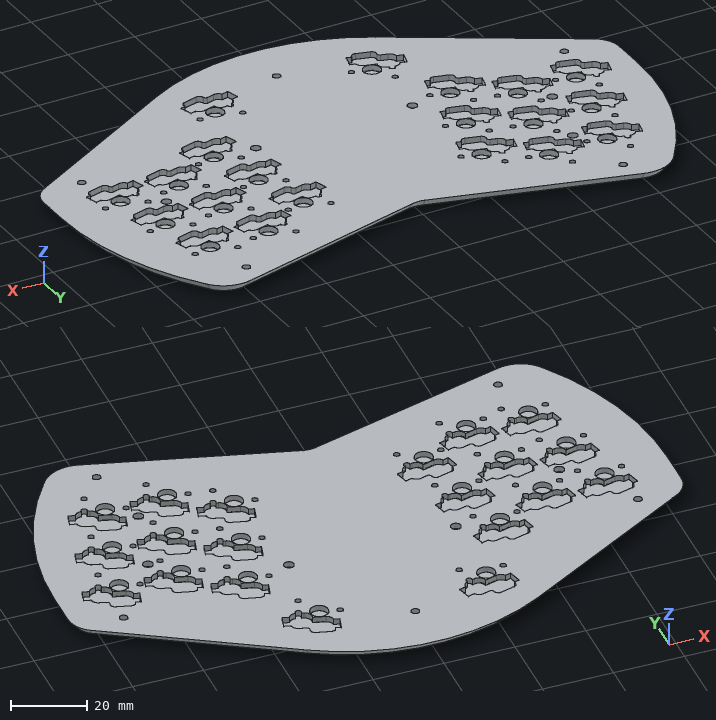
import cadquery as cq
import math

HALF_WIDTH = 86.5
THICKNESS = 2.8
EDGE_TAPER = 40.0

NOTCH_Y = 37.4
TOP_SLOPE = 15.0
SIDE_ARC_RADIUS = 82.2
SIDE_ARC_START_Y = 0.2
FRONT_SLOPE = 30.0
FRONT_RADIUS = 65.8
FRONT_Y = -53.8
NOTCH_RADIUS = 7.0
TOP_CORNER_RADIUS = 10.4
SIDE_CORNER_RADIUS = 7.8

SCREW_DIAMETER = 2.3
SIDE_SCREWS = [(56.6, 46.4), (72.5, -14.2)]
FRONT_SCREW_Y = -39.3
DIMPLE_DIAMETER = 2.8
DIMPLES = [(52.6, 26.3), (58.0, 5.5), (23.5, -8.1)]
POCKET_DEPTH = 1.7

KEY_TILT = 15.0
KEY_PITCH = 17.0
ROWS = (-1, 0, 1)
MIDDLE_ROW = [(31.2, 7.1), (46.5, 16.0), (64.0, 16.0)]
THUMB_KEY = (23.5, -30.1)

STEM_DIAMETER = 5.0
POST_DIAMETER = 1.65
POST_X = 5.5
PIN_DIAMETER = 1.65
PIN_XY = (-5.0, 5.2)

SOCKET_LEFT = -8.1
SOCKET_RIGHT = 3.5
LEFT_TOP = -0.3
LEFT_BOTTOM = -7.1
RIGHT_TOP = -2.6
RIGHT_BOTTOM = -9.3
LEFT_TOP_END_X = -2.0
STEP_X = -3.3
LOBE_RADIUS = 4.0 / 2
STEP_RADIUS = 0.78
FOOT_RADIUS = 1.3
PAD_LEFT = -10.0
PAD_RIGHT = 5.0
PAD_HEIGHT = 3.8
PAD_LEFT_Y = -3.8
PAD_RIGHT_Y = -5.9


def plate():
    """Boomerang-shaped plate whose rim slopes inward from the top face to the underside."""
    slope = math.tan(math.radians(TOP_SLOPE))
    arc_x = HALF_WIDTH - SIDE_ARC_RADIUS
    a = 1 + slope**2
    b = slope * (NOTCH_Y - SIDE_ARC_START_Y) - arc_x
    c = arc_x**2 + (NOTCH_Y - SIDE_ARC_START_Y) ** 2 - SIDE_ARC_RADIUS**2
    corner_x = (-b + math.sqrt(b**2 - a * c)) / a
    corner_y = NOTCH_Y + slope * corner_x
    mid_angle = math.atan2(corner_y - SIDE_ARC_START_Y, corner_x - arc_x) / 2
    mid_x = arc_x + SIDE_ARC_RADIUS * math.cos(mid_angle)
    mid_y = SIDE_ARC_START_Y + SIDE_ARC_RADIUS * math.sin(mid_angle)
    front = math.radians(FRONT_SLOPE)
    apex_y = FRONT_Y - FRONT_RADIUS * (1 / math.cos(front) - 1)
    side_y = apex_y + HALF_WIDTH * math.tan(front)

    blank = (
        cq.Workplane("XY")
        .moveTo(0, NOTCH_Y)
        .lineTo(corner_x, corner_y)
        .threePointArc((mid_x, mid_y), (HALF_WIDTH, SIDE_ARC_START_Y))
        .lineTo(HALF_WIDTH, side_y)
        .lineTo(0, apex_y)
        .lineTo(-HALF_WIDTH, side_y)
        .lineTo(-HALF_WIDTH, SIDE_ARC_START_Y)
        .threePointArc((-mid_x, mid_y), (-corner_x, corner_y))
        .close()
        .extrude(THICKNESS)
    )
    fillets = [
        (0, NOTCH_Y, NOTCH_RADIUS),
        (0, apex_y, FRONT_RADIUS),
        (corner_x, corner_y, TOP_CORNER_RADIUS),
        (-corner_x, corner_y, TOP_CORNER_RADIUS),
        (HALF_WIDTH, side_y, SIDE_CORNER_RADIUS),
        (-HALF_WIDTH, side_y, SIDE_CORNER_RADIUS),
    ]
    for x, y, radius in fillets:
        blank = blank.edges(cq.NearestToPointSelector((x, y, THICKNESS / 2))).fillet(radius)
    top_outline = blank.faces(">Z").wires().toPending()
    return top_outline.extrude(-THICKNESS, combine=False, taper=EDGE_TAPER)


def drill(x, y, diameter, depth):
    """Cutter for a round hole sunk from the top face."""
    return cq.Workplane("XY", origin=(x, y, THICKNESS)).circle(diameter / 2).extrude(-depth)


def socket_recess():
    """Cutter for the socket body and its two contact pads."""
    top = cq.Workplane("XY", origin=(0, 0, THICKNESS))
    body = (
        top.moveTo(SOCKET_LEFT + LOBE_RADIUS, LEFT_TOP)
        .lineTo(LEFT_TOP_END_X - LOBE_RADIUS, LEFT_TOP)
        .radiusArc((LEFT_TOP_END_X, LEFT_TOP - LOBE_RADIUS), LOBE_RADIUS)
        .lineTo(LEFT_TOP_END_X, RIGHT_TOP)
        .lineTo(SOCKET_RIGHT - LOBE_RADIUS, RIGHT_TOP)
        .radiusArc((SOCKET_RIGHT, RIGHT_TOP - LOBE_RADIUS), LOBE_RADIUS)
        .lineTo(SOCKET_RIGHT, RIGHT_BOTTOM + FOOT_RADIUS)
        .radiusArc((SOCKET_RIGHT - FOOT_RADIUS, RIGHT_BOTTOM), FOOT_RADIUS)
        .lineTo(STEP_X + FOOT_RADIUS, RIGHT_BOTTOM)
        .radiusArc((STEP_X, RIGHT_BOTTOM + FOOT_RADIUS), FOOT_RADIUS)
        .lineTo(STEP_X, LEFT_BOTTOM - STEP_RADIUS)
        .radiusArc((STEP_X - STEP_RADIUS, LEFT_BOTTOM), -STEP_RADIUS)
        .lineTo(SOCKET_LEFT + LOBE_RADIUS, LEFT_BOTTOM)
        .radiusArc((SOCKET_LEFT, LEFT_BOTTOM + LOBE_RADIUS), LOBE_RADIUS)
        .lineTo(SOCKET_LEFT, LEFT_TOP - LOBE_RADIUS)
        .radiusArc((SOCKET_LEFT + LOBE_RADIUS, LEFT_TOP), LOBE_RADIUS)
        .close()
        .extrude(-POCKET_DEPTH)
    )
    pad_ends = [
        (PAD_LEFT, SOCKET_LEFT + LOBE_RADIUS, PAD_LEFT_Y),
        (SOCKET_RIGHT - LOBE_RADIUS, PAD_RIGHT, PAD_RIGHT_Y),
    ]
    for x_start, x_end, y in pad_ends:
        pad = top.center((x_start + x_end) / 2, y).rect(x_end - x_start, PAD_HEIGHT)
        body = body.union(pad.extrude(-POCKET_DEPTH))
    return body


def key_recess():
    """Cutter for everything below one key switch centred on the origin."""
    return (
        socket_recess()
        .union(drill(0, 0, STEM_DIAMETER, POCKET_DEPTH))
        .union(drill(-POST_X, 0, POST_DIAMETER, POCKET_DEPTH))
        .union(drill(POST_X, 0, POST_DIAMETER, POCKET_DEPTH))
        .union(drill(*PIN_XY, PIN_DIAMETER, POCKET_DEPTH))
    )


def key_places():
    """Switch centres of the right hand: three tilted columns and a thumb key."""
    tilt = math.radians(KEY_TILT)
    places = [THUMB_KEY]
    for x, y in MIDDLE_ROW:
        for row in ROWS:
            along = row * KEY_PITCH
            places.append((x - along * math.sin(tilt), y + along * math.cos(tilt)))
    return places


result = plate()
recess = key_recess()

for side in (1, -1):
    tilted_recess = recess.rotate((0, 0, 0), (0, 0, 1), side * KEY_TILT)
    for x, y in key_places():
        result = result.cut(tilted_recess.translate((side * x, y, 0)))
    for x, y in SIDE_SCREWS:
        result = result.cut(drill(side * x, y, SCREW_DIAMETER, THICKNESS))
    for x, y in DIMPLES:
        result = result.cut(drill(side * x, y, DIMPLE_DIAMETER, POCKET_DEPTH))
result = result.cut(drill(0, FRONT_SCREW_Y, SCREW_DIAMETER, THICKNESS))